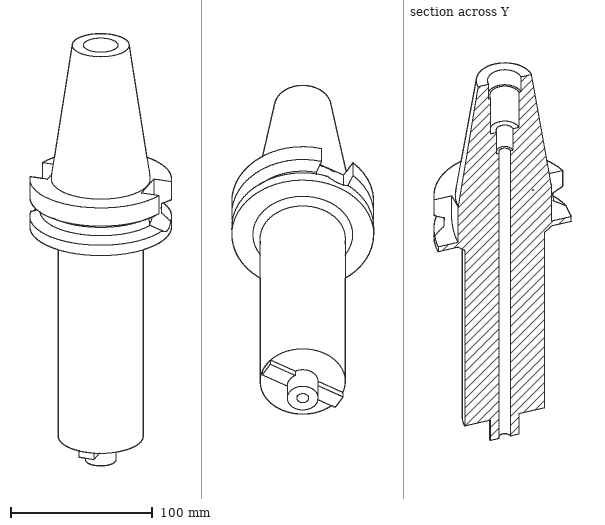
import cadquery as cq

height = 319.8
body_bottom = 18.2
collar_bottom = 175.3
flange_bottom = 179.7
lower_rim_top = 187.7
groove_bottom = 192.0
groove_top = 198.3
upper_rim_bottom = 202.5
flange_top = 216.5
gauge_level = 218.0

taper_top_radius = 20.0
taper_base_radius = 35.0
flange_radius = 50.05
groove_radius = 43.0
collar_radius = 35.2
body_radius = 30.0
nose_radius = 11.0

mouth_radius = 12.0
mouth_depth = 13.5
thread_radius = 10.5
thread_depth = 44.8
seat_radius = 6.0
seat_depth = 64.0
coolant_radius = 4.0

slot_width = 25.5
slot_inner_x = 35.2
slot_bottom = 184.5

key_width = 11.2
key_length = 59.5
key_height = 4.8


def make_body():
    """Revolve the taper, grooved flange, shank and nose about Z."""
    profile = [
        (0, 0),
        (nose_radius, 0),
        (nose_radius, body_bottom),
        (body_radius, body_bottom),
        (body_radius, collar_bottom),
        (collar_radius, flange_bottom),
        (flange_radius, flange_bottom),
        (flange_radius, lower_rim_top),
        (groove_radius, groove_bottom),
        (groove_radius, groove_top),
        (flange_radius, upper_rim_bottom),
        (flange_radius, flange_top),
        (taper_base_radius, flange_top),
        (taper_base_radius, gauge_level),
        (taper_top_radius, height),
        (0, height),
    ]
    return cq.Workplane("XZ").polyline(profile).close().revolve(360, (0, 0, 0), (0, 1, 0))


def make_drive_key():
    """Make the bar that crosses the body's bottom face along Y."""
    return (
        cq.Workplane("XY")
        .workplane(offset=body_bottom - key_height)
        .rect(key_width, key_length)
        .extrude(key_height)
    )


def make_bore():
    """Make the stepped bore, with the coolant hole running right through."""
    bore = cq.Workplane("XY").circle(coolant_radius).extrude(height)
    steps = [
        (mouth_radius, mouth_depth),
        (thread_radius, thread_depth),
        (seat_radius, seat_depth),
    ]
    for radius, depth in steps:
        step = cq.Workplane("XY").workplane(offset=height - depth).circle(radius).extrude(depth)
        bore = bore.union(step)
    return bore


def make_drive_slot(side):
    """Make a round-bottomed slot cutter on the +X (side=1) or -X (side=-1) flank."""
    half_width = slot_width / 2
    arc_center = slot_bottom + half_width
    return (
        cq.Workplane("YZ", origin=(side * slot_inner_x, 0, 0))
        .moveTo(-half_width, flange_top)
        .lineTo(-half_width, arc_center)
        .threePointArc((0, slot_bottom), (half_width, arc_center))
        .lineTo(half_width, flange_top)
        .close()
        .extrude(side * flange_radius)
    )


result = make_body().union(make_drive_key()).cut(make_bore())
for side in (-1, 1):
    result = result.cut(make_drive_slot(side))